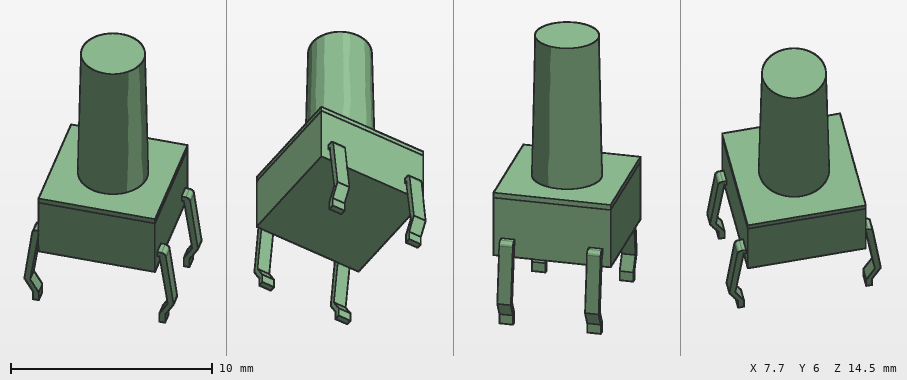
import cadquery as cq

body_width = 6.0
body_bottom = 3.5
body_top = 6.9
cover_thickness = 0.28
base_height = body_top - cover_thickness - body_bottom

total_height = 14.5
button_bottom_radius = 1.75
button_top_radius = 1.6

leg_width = 0.7
leg_spacing = 4.5
leg_thickness = 0.3
arm_thickness = 0.28
arm_top = 4.47
shoulder_x = 3.42
shoulder_radius = 0.25
knee_x = 7.7 / 2
knee_height = 1.26
foot_x = 3.41
foot_height = 0.51


def make_leg(center_y):
    """Leg on the +X side, bent out to the knee and back in to the foot."""
    face_x = body_width / 2
    outline = [
        (face_x, arm_top),
        (shoulder_x, arm_top),
        (knee_x, knee_height),
        (foot_x, foot_height),
        (foot_x, 0),
        (foot_x - leg_thickness, 0),
        (foot_x - leg_thickness, foot_height),
        (knee_x - leg_thickness, knee_height),
        (shoulder_x - leg_thickness, arm_top - arm_thickness),
        (face_x, arm_top - arm_thickness),
    ]
    leg = (
        cq.Workplane("XZ", origin=(0, center_y, 0))
        .polyline(outline)
        .close()
        .extrude(leg_width / 2, both=True)
    )
    return leg.edges("|Y").edges(">Z").edges(">X").fillet(shoulder_radius)


def make_base():
    """Square base with its four legs."""
    base = cq.Workplane("XY", origin=(0, 0, body_bottom)).box(
        body_width, body_width, base_height, centered=(True, True, False)
    )
    for center_y in (-leg_spacing / 2, leg_spacing / 2):
        leg = make_leg(center_y)
        base = base.union(leg).union(leg.mirror("YZ"))
    return base.solids()


def make_cover():
    """Flat plate covering the whole top of the base."""
    return cq.Workplane("XY", origin=(0, 0, body_top - cover_thickness)).box(
        body_width, body_width, cover_thickness, centered=(True, True, False)
    )


def make_button():
    """Slightly tapered round button standing on the cover."""
    return cq.Workplane("XY").add(
        cq.Solid.makeCone(
            button_bottom_radius,
            button_top_radius,
            total_height - body_top,
            pnt=cq.Vector(0, 0, body_top),
        )
    )


base = make_base()
cover = make_cover()
button = make_button()

result = cq.Compound.makeCompound([base.val(), cover.val(), button.val()])